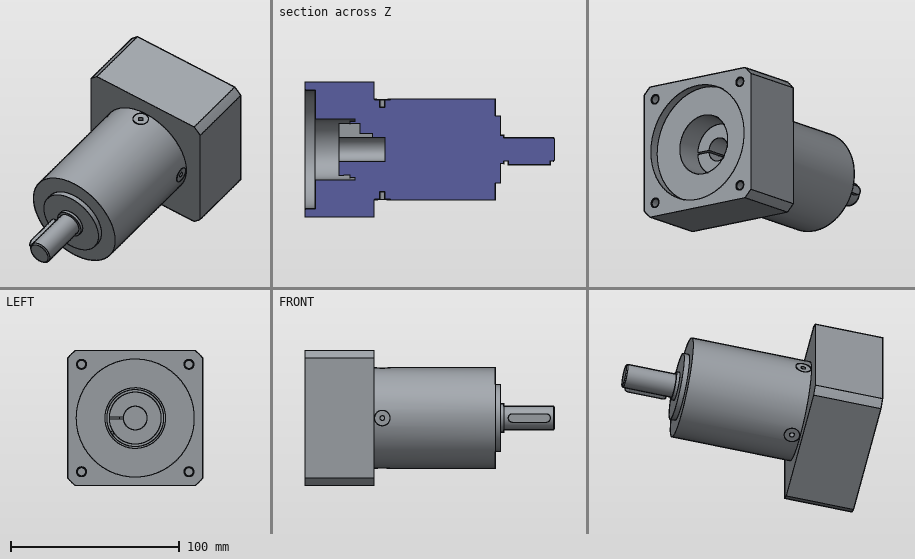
import cadquery as cq
total_length = 148.0
flange_length = 41.0
body_end = 112.9
pilot_boss_end = 116.0
shoulder_end = 118.0

flange_side = 80.0
corner_diameter = 107.2
bolt_spacing = 63.6
bolt_hole_diameter = 4.9
bolt_hole_depth = 14.8
bolt_countersink_diameter = 5.9
bolt_countersink_depth = 0.3
pilot_recess_diameter = 70.0
pilot_recess_depth = 6.0

bore_diameter = 36.0
bore_depth = 29.6
collar_diameter = 33.7
collar_front = 26.6
hub_diameter = 30.8
hub_front = 20.1
hub_bore_diameter = 14.0
hub_bore_end = 47.4
collar_hole_diameter = 1.8
collar_hole_depth = 1.5
collar_hole_angle = -32.5
slit_width = 1.2
slit_step_radius = 9.5
slit_outer_end = 32.5
slit_inner_end = 40.0

body_diameter = 60.0
port_position = flange_length + 4.9
port_spot_diameter = 9.2
port_spot_depth = 0.5
port_hole_diameter = 2.8
port_hole_depth = 4.5

pilot_boss_diameter = 40.0
shoulder_diameter = 17.0
shaft_diameter = 14.0
shaft_chamfer = 0.7
key_length = 25.0
key_width = 5.0
key_top = 9.0


def cylinder_x(diameter, start, end):
    """Cylinder on the X axis from start to end."""
    return cq.Workplane("YZ").workplane(offset=start).circle(diameter / 2).extrude(end - start)


def make_flange():
    """Square block whose corners are turned to a circle, with the pilot recess and bore."""
    block = cq.Workplane("YZ").rect(flange_side, flange_side).extrude(flange_length)
    flange = block.intersect(cylinder_x(corner_diameter, 0, flange_length))
    return flange.cut(cylinder_x(pilot_recess_diameter, 0, pilot_recess_depth))


def make_bolt_holes():
    """Four blind holes with a shallow countersink at the motor face."""
    corners = cq.Workplane("YZ").rect(bolt_spacing, bolt_spacing, forConstruction=True).vertices()
    holes = corners.circle(bolt_hole_diameter / 2).extrude(bolt_hole_depth)
    countersink = cq.Solid.makeCone(
        bolt_countersink_diameter / 2,
        bolt_hole_diameter / 2,
        bolt_countersink_depth,
        dir=cq.Vector(1, 0, 0),
    )
    for corner in corners.vals():
        holes = holes.union(cq.Workplane(countersink.translate(corner.Center())))
    return holes


def make_slit(radius, end):
    """Radial slit on the +Y side, reaching out to the given radius and back to end."""
    slit = cq.Workplane("XY").box(end - hub_front, radius, slit_width, centered=(False, False, True))
    return slit.translate((hub_front, 0, 0)).intersect(cylinder_x(2 * radius, hub_front, end))


def make_clamp_hub():
    """Hub and surrounding collar standing on the bore floor, slit on the +Y side."""
    hub = cylinder_x(hub_diameter, hub_front, bore_depth)
    return hub.union(cylinder_x(collar_diameter, collar_front, bore_depth))


def make_collar_hole():
    """Small blind hole in the collar face, midway between hub and collar rim."""
    mid_radius = (hub_diameter + collar_diameter) / 4
    hole = cylinder_x(collar_hole_diameter, collar_front, collar_front + collar_hole_depth)
    return hole.translate((0, mid_radius, 0)).rotate((0, 0, 0), (1, 0, 0), collar_hole_angle)


def make_output_side():
    """Pilot boss, shoulder, chamfered shaft and round-ended key on the -Y side."""
    boss = cylinder_x(pilot_boss_diameter, body_end, pilot_boss_end)
    shoulder = cylinder_x(shoulder_diameter, pilot_boss_end, shoulder_end)
    shaft = cylinder_x(shaft_diameter, shoulder_end, total_length).faces(">X").chamfer(shaft_chamfer)
    key_center = (shoulder_end + total_length) / 2
    key = cq.Workplane("XZ").center(key_center, 0).slot2D(key_length, key_width).extrude(key_top)
    return boss.union(shoulder).union(shaft).union(key)


def make_port():
    """Cutter for the port on the -Y side: a flat round spot with a small hole in it."""
    spot_floor = body_diameter / 2 - port_spot_depth
    base = cq.Workplane("XZ").center(port_position, 0)
    spot = base.workplane(offset=spot_floor).circle(port_spot_diameter / 2).extrude(2 * port_spot_depth)
    hole = base.workplane(offset=spot_floor - port_hole_depth)
    return spot.union(hole.circle(port_hole_diameter / 2).extrude(port_hole_depth))


body = cylinder_x(body_diameter, flange_length, body_end)
result = make_flange().union(body).union(make_output_side())

result = result.cut(make_bolt_holes())
result = result.cut(cylinder_x(bore_diameter, 0, bore_depth))
result = result.union(make_clamp_hub())
result = result.cut(make_collar_hole())
result = result.cut(cylinder_x(hub_bore_diameter, hub_front, hub_bore_end))
result = result.cut(make_slit(hub_diameter / 2, slit_outer_end))
result = result.cut(make_slit(slit_step_radius, slit_inner_end))

for quarter in range(4):
    result = result.cut(make_port().rotate((0, 0, 0), (1, 0, 0), 90 * quarter))